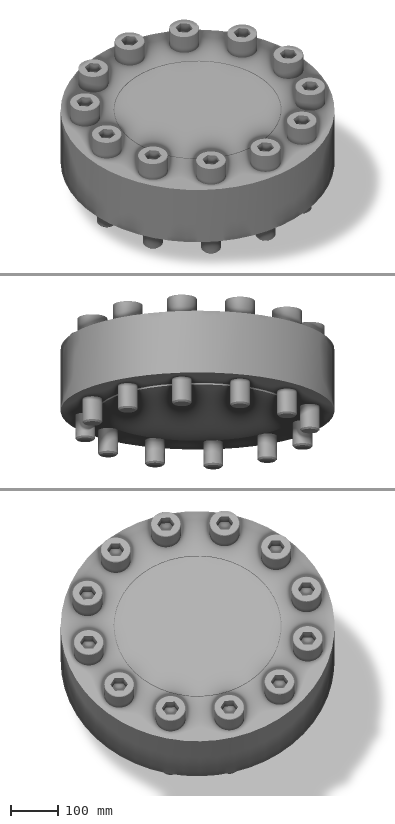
import cadquery as cq
import math

flange_diameter = 580
flange_thickness = 136.5
boss_diameter = 424.0
boss_height = 3.5

groove_outer_diameter = 355.5
groove_width = 2.0
groove_depth = 2.0

bolt_count = 12
bolt_circle_diameter = 480.0
shank_diameter = 42.0
shank_projection = 54.0
shank_chamfer = 3.5
head_diameter = 63.0
head_height = 42.0
head_chamfer = 1.0
hex_across_flats = 32.0
hex_depth = 21.5


def make_flange():
    """Disc with a low boss below and a ring groove on top; its bottom face is at Z = 0."""
    disc = cq.Workplane("XY").circle(flange_diameter / 2).extrude(flange_thickness)
    boss = cq.Workplane("XY").circle(boss_diameter / 2).extrude(-boss_height)
    groove = (
        cq.Workplane("XY", origin=(0, 0, flange_thickness))
        .circle(groove_outer_diameter / 2)
        .circle(groove_outer_diameter / 2 - groove_width)
        .extrude(-groove_depth)
    )
    return disc.union(boss).cut(groove)


def make_bolt():
    """Socket head bolt on the Z axis, its head seated on the top face of the flange."""
    head = (
        cq.Workplane("XY", origin=(0, 0, flange_thickness))
        .circle(head_diameter / 2)
        .extrude(head_height)
        .faces(">Z")
        .chamfer(head_chamfer)
    )
    shank = (
        cq.Workplane("XY", origin=(0, 0, -shank_projection))
        .circle(shank_diameter / 2)
        .extrude(shank_projection + flange_thickness)
        .faces("<Z")
        .chamfer(shank_chamfer)
    )
    socket = (
        cq.Workplane("XY", origin=(0, 0, flange_thickness + head_height))
        .polygon(6, hex_across_flats, circumscribed=True)
        .extrude(-hex_depth)
    )
    return head.union(shank).cut(socket)


result = make_flange()
bolt = make_bolt()
bolt_circle_radius = bolt_circle_diameter / 2
for index in range(bolt_count):
    angle = (index + 0.5) * 2 * math.pi / bolt_count
    x = bolt_circle_radius * math.cos(angle)
    y = bolt_circle_radius * math.sin(angle)
    result = result.union(bolt.translate((x, y, 0)))